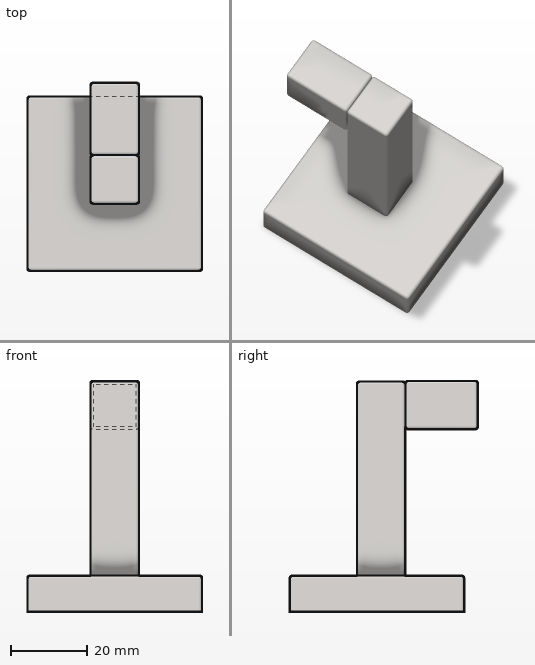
import cadquery as cq

base_side = 45.7
base_height = 9.5

bar_width = 12.7
total_height = 60.45
total_depth = 49.25
arm_length = 19.0
post_top_drop = 0.2

edge_radius = 0.8

arm_back_y = total_depth - base_side / 2
post_back_y = arm_back_y - arm_length
post_center_y = post_back_y - bar_width / 2
post_height = total_height - post_top_drop - base_height


def rounded_block(size_x, size_y, height):
    """Block standing on Z = 0 with rounded upright and top edges."""
    block = cq.Workplane("XY").box(size_x, size_y, height, centered=(True, True, False))
    return block.edges("|Z or >Z").fillet(edge_radius)


base = rounded_block(base_side, base_side, base_height)

post = rounded_block(bar_width, bar_width, post_height).translate((0, post_center_y, base_height))

arm = (
    cq.Workplane("XY")
    .box(bar_width, arm_length, bar_width)
    .edges()
    .fillet(edge_radius)
    .translate((0, arm_back_y - arm_length / 2, total_height - bar_width / 2))
)

result = base.union(post).union(arm)